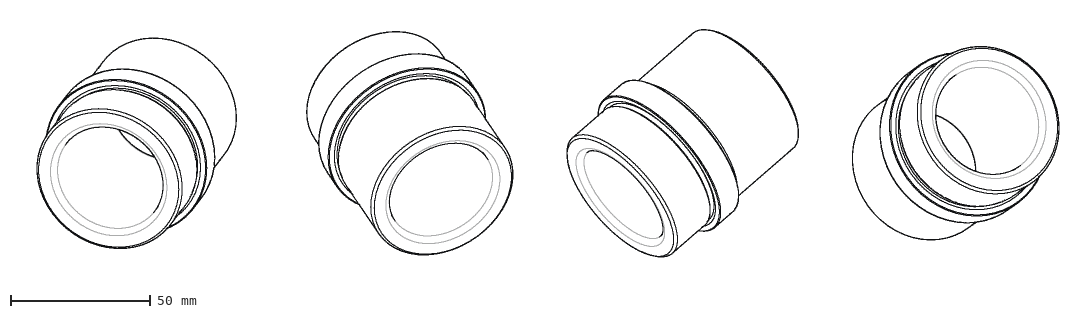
import cadquery as cq

length = 65.0
body_radius = 27.5
collar_radius = 30.5
bore_radius = 20.0
groove_radius = 27.0

front_land_end = 18.0
collar_start = 20.0
collar_end = 30.0
rear_land_start = 32.1

end_chamfer = 1.0
collar_chamfer = 0.3
groove_depth = body_radius - groove_radius
bore_round = 2.0

relief_radius = 28.2
relief_depth = 0.5


def outer_profile():
    """Half section of the solid body: X is the radius, Y the axial station."""
    return (
        cq.Workplane("XY")
        .moveTo(0, 0)
        .lineTo(body_radius - end_chamfer, 0)
        .lineTo(body_radius, end_chamfer)
        .lineTo(body_radius, front_land_end)
        .lineTo(groove_radius, front_land_end + groove_depth)
        .lineTo(groove_radius, collar_start + relief_depth)
        .lineTo(relief_radius, collar_start)
        .lineTo(collar_radius - collar_chamfer, collar_start)
        .lineTo(collar_radius, collar_start + collar_chamfer)
        .lineTo(collar_radius, collar_end - collar_chamfer)
        .lineTo(collar_radius - collar_chamfer, collar_end)
        .lineTo(relief_radius, collar_end)
        .lineTo(groove_radius, collar_end - relief_depth)
        .lineTo(groove_radius, rear_land_start - groove_depth)
        .lineTo(body_radius, rear_land_start)
        .lineTo(body_radius, length - end_chamfer)
        .lineTo(body_radius - end_chamfer, length)
        .lineTo(0, length)
        .close()
    )


def bore():
    """Through bore with a rounded mouth at each end."""
    mouth_radius = bore_radius + bore_round
    arc_offset = bore_round * (1 - 0.5**0.5)
    return (
        cq.Workplane("XY")
        .moveTo(0, 0)
        .lineTo(mouth_radius, 0)
        .threePointArc((bore_radius + arc_offset, arc_offset), (bore_radius, bore_round))
        .lineTo(bore_radius, length - bore_round)
        .threePointArc((bore_radius + arc_offset, length - arc_offset), (mouth_radius, length))
        .lineTo(0, length)
        .close()
        .revolve(360, (0, 0, 0), (0, 1, 0))
    )


body = outer_profile().revolve(360, (0, 0, 0), (0, 1, 0))
result = body.cut(bore()).translate((0, -length / 2, 0))